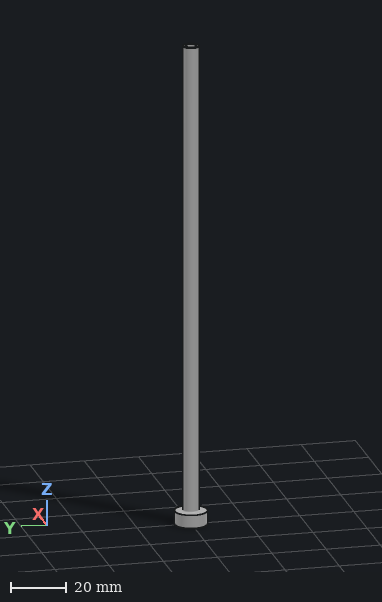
import cadquery as cq

total_length = 180.0
head_diameter = 12.0
head_thickness = 5.0
tube_diameter = 6.0
bore_diameter = 4.0
root_fillet_radius = 0.5

head = cq.Workplane("XY").circle(head_diameter / 2).extrude(head_thickness)

tube = cq.Workplane("XY").circle(tube_diameter / 2).extrude(total_length)
body = head.union(tube)

tube_root = cq.selectors.RadiusNthSelector(0)
body = body.faces("<Z[1]").edges(tube_root).fillet(root_fillet_radius)

bore = cq.Workplane("XY").circle(bore_diameter / 2).extrude(total_length)
result = body.cut(bore)